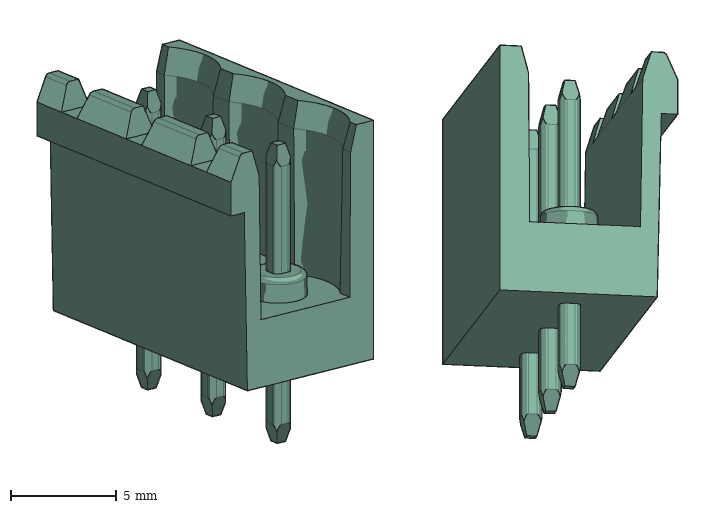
import cadquery as cq


positions = 3
body_length = 15.0
pitch = body_length / positions
pin_centres = [(i - (positions - 1) / 2) * pitch for i in range(positions)]

total_height = 16.0
body_bottom = total_height / 4
floor_z = body_bottom + 3.4
lead_in_depth = 1.31
shoulder_z = total_height - lead_in_depth
hook_bottom = total_height - 3.0

rear_face = 3.8
rear_thickness_floor = 1.44
rear_thickness_shoulder = 1.4
rear_thickness_top = 1.04

front_inner_floor = 3.0
front_inner_shoulder = 3.1
front_inner_top = 3.52
front_outer_top = 4.2
hook_reach = 4.8
front_outer_hook = 4.0
front_outer_bottom = 3.8
hook_round = 0.25

scallop_radius_floor = 2.95
scallop_radius_shoulder = 3.07
scallop_radius_top = 3.42

notch_bottom_width = 1.2
notch_top_width = 1.82

pin_width = 1.0
pin_corner_radius = 0.3
pin_tip_width = 0.5
pin_tip_length = 1.0
pin_top = 15.0

collar_height = 1.18
collar_base_radius = 1.4
collar_top_radius = 1.36
collar_round = 0.27


def make_housing():
    """U-shaped section with lead-in slopes and a latch hook, extruded along X."""
    outline = [
        (rear_face, body_bottom),
        (rear_face, total_height),
        (rear_face - rear_thickness_top, total_height),
        (rear_face - rear_thickness_shoulder, shoulder_z),
        (rear_face - rear_thickness_floor, floor_z),
        (-front_inner_floor, floor_z),
        (-front_inner_shoulder, shoulder_z),
        (-front_inner_top, total_height),
        (-front_outer_top, total_height),
        (-hook_reach, shoulder_z),
        (-hook_reach, hook_bottom),
        (-front_outer_hook, hook_bottom),
        (-front_outer_bottom, body_bottom),
    ]
    housing = cq.Workplane("YZ").polyline(outline).close().extrude(body_length / 2, both=True)
    hook_crest = cq.selectors.NearestToPointSelector((0, -front_outer_top, total_height))
    return housing.edges(hook_crest).fillet(hook_round)


def make_scallop(x):
    """Half-round tapered hollow on the +Y side of one pin, flared at the lead-in slope."""
    half_section = [
        (0, floor_z),
        (scallop_radius_floor, floor_z),
        (scallop_radius_shoulder, shoulder_z),
        (scallop_radius_top, total_height),
        (0, total_height),
    ]
    hollow = (
        cq.Workplane("XZ").polyline(half_section).close()
        .revolve(180, (0, 0, 0), (0, 1, 0))
    )
    return hollow.translate((x, 0, 0))


def make_notch(x):
    """Trapezoidal slot through the crest of the front wall."""
    section = [
        (x - notch_bottom_width / 2, shoulder_z),
        (x + notch_bottom_width / 2, shoulder_z),
        (x + notch_top_width / 2, total_height),
        (x - notch_top_width / 2, total_height),
    ]
    return cq.Workplane("XZ").polyline(section).close().extrude(hook_reach)


def make_collar(x):
    """Slightly tapered round collar with a rounded rim, standing on the housing floor."""
    half_section = [
        (0, floor_z),
        (collar_base_radius, floor_z),
        (collar_top_radius, floor_z + collar_height),
        (0, floor_z + collar_height),
    ]
    collar = (
        cq.Workplane("XZ").polyline(half_section).close()
        .revolve(360, (0, 0, 0), (0, 1, 0))
        .faces(">Z").edges().fillet(collar_round)
    )
    return collar.translate((x, 0, 0))


def make_tapered_bar(plane):
    """Square bar along Z, tapered at both ends in the two sides lying in the given plane."""
    half_body = pin_width / 2
    half_tip = pin_tip_width / 2
    section = [
        (-half_tip, 0),
        (half_tip, 0),
        (half_body, pin_tip_length),
        (half_body, pin_top - pin_tip_length),
        (half_tip, pin_top),
        (-half_tip, pin_top),
        (-half_body, pin_top - pin_tip_length),
        (-half_body, pin_tip_length),
    ]
    return cq.Workplane(plane).polyline(section).close().extrude(pin_width / 2, both=True)


def make_pin(x):
    """Square pin with rounded corners and a four-sided taper at each end."""
    pin = (
        cq.Workplane("XY").rect(pin_width, pin_width).extrude(pin_top)
        .edges("|Z").fillet(pin_corner_radius)
        .intersect(make_tapered_bar("XZ"))
        .intersect(make_tapered_bar("YZ"))
    )
    return pin.translate((x, 0, 0))


result = make_housing()
for centre in pin_centres:
    result = result.cut(make_scallop(centre)).cut(make_notch(centre))
for centre in pin_centres:
    result = result.union(make_collar(centre)).union(make_pin(centre))